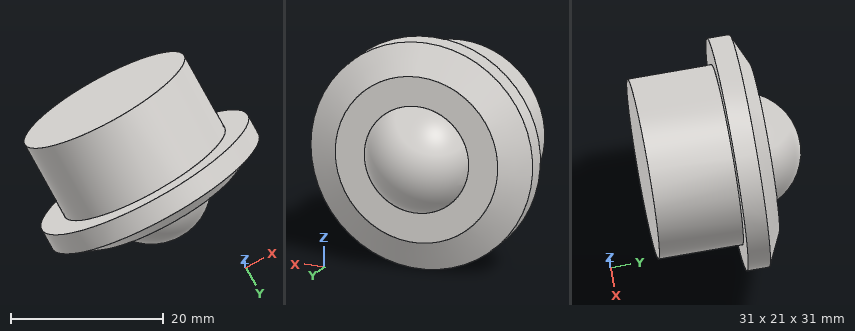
import cadquery as cq

flange_diameter = 31.0
rim_thickness = 2.98
bevel_height = 1.98
bevel_top_diameter = 22.7
body_diameter = 24.0
body_length = 11.2
ball_diameter = 15.87
ball_protrusion = 4.8

flange_top = rim_thickness + bevel_height
ball_radius = ball_diameter / 2
ball_center = flange_top + ball_protrusion - ball_radius


def make_housing():
    """Revolve the stepped body and bevelled flange about the Y axis."""
    profile = [
        (0, -body_length),
        (body_diameter / 2, -body_length),
        (body_diameter / 2, 0),
        (flange_diameter / 2, 0),
        (flange_diameter / 2, rim_thickness),
        (bevel_top_diameter / 2, flange_top),
        (0, flange_top),
    ]
    return cq.Workplane("XY").polyline(profile).close().revolve(360, (0, 0), (0, 1))


def make_ball():
    """Ball seated in the housing with only its cap standing proud."""
    return cq.Workplane("XY").sphere(ball_radius).translate((0, ball_center, 0))


result = make_housing().union(make_ball())